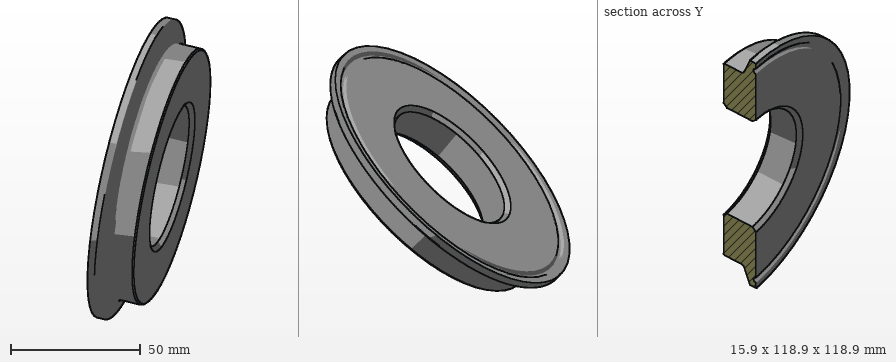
import cadquery as cq
import math

length = 15.9
flange_radius = 118.9 / 2
hub_radius = 101.5 / 2
bore_radius = 27.8

rim_thickness = 3.1
back_slope = math.radians(20)
rim_rounding = 0.4
neck_rounding = 1.5
hub_end_chamfer = 0.6

countersink_radius = 29.6
countersink_depth = 1.8

groove_radius = 55.2
groove_half_width = 1.8
groove_floor_rounding = 1.2
groove_lip_rounding = 0.7


def turned(outline):
    """Revolve an outline drawn as (X, radius) about the X axis."""
    return outline.revolve(360, (0, 0, 0), (1, 0, 0))


def rings_up_to(radius, x):
    """Select the circular edges at a given X position, up to a given radius."""
    margin = 0.01
    reach = radius + margin
    low_corner = (x - margin, -reach, -reach)
    high_corner = (x + margin, reach, reach)
    return cq.selectors.BoxSelector(low_corner, high_corner, boundingbox=True)


neck_x = rim_thickness + (flange_radius - hub_radius) * math.tan(back_slope)
body = turned(
    cq.Workplane("XY")
    .moveTo(0, countersink_radius)
    .lineTo(0, flange_radius)
    .lineTo(rim_thickness, flange_radius)
    .lineTo(neck_x, hub_radius)
    .lineTo(length, hub_radius)
    .lineTo(length, countersink_radius)
    .lineTo(length - countersink_depth, bore_radius)
    .lineTo(countersink_depth, bore_radius)
    .close()
)
body = body.edges(rings_up_to(flange_radius, rim_thickness)).fillet(rim_rounding)
body = body.edges(rings_up_to(hub_radius, neck_x)).fillet(neck_rounding)
outer_end_edge = cq.selectors.RadiusNthSelector(-1)
body = body.faces(">X").edges(outer_end_edge).chamfer(hub_end_chamfer)

wall_angle = math.asin(groove_half_width / (groove_floor_rounding + groove_lip_rounding))
floor_half_width = groove_floor_rounding * math.sin(wall_angle)
lip_depth = groove_lip_rounding * (1 - math.cos(wall_angle))
groove_depth = lip_depth + groove_floor_rounding * (1 - math.cos(wall_angle))
lip_middle_offset = groove_half_width - groove_lip_rounding * math.sin(wall_angle / 2)
lip_middle_depth = groove_lip_rounding * (1 - math.cos(wall_angle / 2))
groove = turned(
    cq.Workplane("XY")
    .moveTo(0, groove_radius - groove_half_width)
    .threePointArc(
        (lip_middle_depth, groove_radius - lip_middle_offset),
        (lip_depth, groove_radius - floor_half_width),
    )
    .threePointArc(
        (groove_depth, groove_radius),
        (lip_depth, groove_radius + floor_half_width),
    )
    .threePointArc(
        (lip_middle_depth, groove_radius + lip_middle_offset),
        (0, groove_radius + groove_half_width),
    )
    .close()
)
result = body.cut(groove)